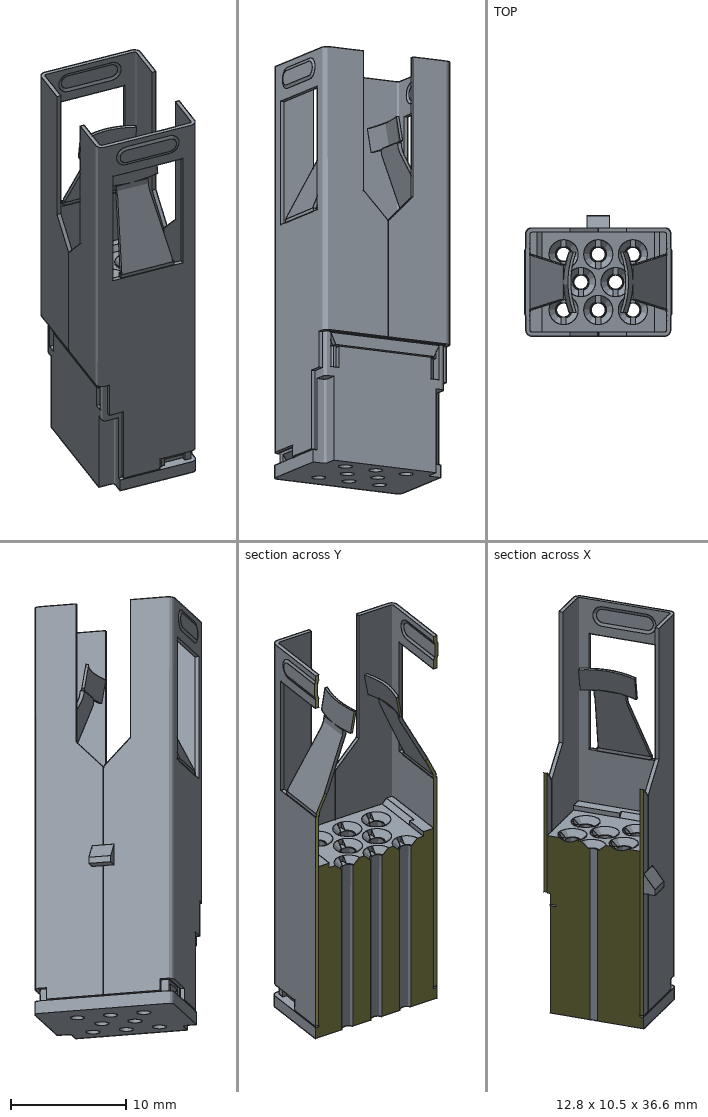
import cadquery as cq

HEIGHT = 36.65
SHELL_X = 12.6
SHELL_Y = 9.42
DEPTH_Y = 10.5
SHEET = 0.35
CORNER_R = 0.6
SEAM_GAP = 0.07
HALF_X = SHELL_X / 2
HALF_Y = SHELL_Y / 2
INNER_X = HALF_X - SHEET
INNER_Y = HALF_Y - SHEET
INNER_R = CORNER_R - SHEET

SIDE_BOTTOM_Z = 1.25
BACK_NOTCH_Z = 2.27
BACK_NOTCH_Y = 1.15
BACK_NOTCH_X = -5.13
FRONT_BOTTOM_Z = 11.45
STEP_Z = 8.25
STEP_Y = -2.3
LOWER_EDGE_Y = -3.65

SLOT_HALF_X = 2.45
SLOT_Z = 24.23
WINDOW_HALF_Y = 3.35
WINDOW_BOTTOM_Z = 22.35
WINDOW_TOP_Z = 33.35

EMBOSS_RISE = 0.1
EMBOSS_Z = 35.2
EMBOSS_LENGTH = 5.95
EMBOSS_WIDTH = 1.87
EMBOSS_RIM = 0.3

BASE_Z = 22.7
ARM_Z = 22.9
NECK_Z = 28.75
NECK_BEND_Z = 29.2
HEAD_Z = 29.72
ARM_BASE_HALF_Y = 2.53
ARM_HALF_Y = 2.42
NECK_HALF_Y = 1.5
ARM_ROOT_X = -6.23
ARM_FOOT_X = -6.15
ARM_TOP_X = -3.25
NECK_BEND_X = -3.08
HEAD_X = -3.0
HEAD_HEIGHT = 2.13
HEAD_HALF_Y = 2.65
HEAD_FLAT_HALF_Y = 0.22
HEAD_SAG = 0.48
HEAD_MID_SAG = 0.3
HEAD_SHEET = 0.25
HEAD_LEAN = 10.0

CAP_HEIGHT = 1.15
CAP_FRONT_Y = -2.65
CAP_R = 0.48
FRONT_Y = -4.1
FRONT_R = 0.35
COLUMN_HALF_X = 5.05
NOTCH_TOP_Z = 7.48
NOTCH_R = 0.3
FLANGE_Z = 11.35
FLANGE_HALF_X = 5.35
FLOOR_Z = 16.85
FLOOR_HALF_X = 4.87
LEDGE_RISE = 0.45

TAB_SLOT_Z = 8.32
TAB_TOP_Z = 10.23
TAB_GAP = 0.1
TAB_HALF_X = 4.55
SLOT_FLANK_X = 4.8
SLOT_SHALLOW = 0.55
SLOT_DEEP = 1.03

POCKET_FRONT_Y = 1.8
POCKET_BACK_Y = 3.75
RELIEF_FRONT_Y = 1.45
RELIEF_DEPTH = 0.1
POCKET_ROOF_Z = 1.45
POCKET_TOP_Z = 2.15
POCKET_DEPTH = 0.5

HOLE_D = 1.2
SEAT_D = 1.43
CONE_D = 2.53
KEY_WIDTH = 0.45
OUTER_PITCH_X = 3.0
OUTER_ROW_Y = 2.42

NOSE_HALF_X = 1.0
NOSE_TIP_Y = DEPTH_Y - HALF_Y
NOSE_BOTTOM_Z = 12.85
NOSE_TIP_Z = 13.4
NOSE_TOP_Z = 14.75


def block(x0, x1, y0, y1, z0, z1):
    """Axis-aligned block between two opposite corners."""
    return cq.Workplane("XY").box(x1 - x0, y1 - y0, z1 - z0, centered=False).translate((x0, y0, z0))


def yz_prism(points, x0, x1):
    """Prism of a (y, z) outline between two X positions."""
    return cq.Workplane("YZ").polyline(points).close().extrude(x1 - x0).translate((x0, 0, 0))


def xz_prism(points, y0, y1):
    """Prism of an (x, z) outline between two Y positions."""
    return cq.Workplane("XZ").polyline(points).close().extrude(y0 - y1).translate((0, y0, 0))


def latch_nose():
    """Wedge at the back, from inside the wall out to the latch tip."""
    return yz_prism(
        [
            (INNER_Y - SHEET, NOSE_BOTTOM_Z),
            (NOSE_TIP_Y, NOSE_BOTTOM_Z),
            (NOSE_TIP_Y, NOSE_TIP_Z),
            (HALF_Y, NOSE_TOP_Z),
            (INNER_Y - SHEET, NOSE_TOP_Z),
        ],
        -NOSE_HALF_X,
        NOSE_HALF_X,
    )


def shell_bore():
    """Full-height inner space of the two half shells."""
    return cq.Workplane("XY").rect(2 * INNER_X, 2 * INNER_Y).extrude(HEIGHT).edges("|Z").fillet(INNER_R)


def shell_walls():
    """Left half of the sheet-metal box with its stepped lower edge and openings."""
    walls = cq.Workplane("XY").rect(SHELL_X, SHELL_Y).extrude(HEIGHT).edges("|Z").fillet(CORNER_R)
    walls = walls.cut(shell_bore())

    side_outline = [
        (-HALF_Y, HEIGHT),
        (-HALF_Y, FRONT_BOTTOM_Z),
        (LOWER_EDGE_Y, FRONT_BOTTOM_Z),
        (LOWER_EDGE_Y, STEP_Z),
        (STEP_Y, STEP_Z),
        (STEP_Y, SIDE_BOTTOM_Z),
        (HALF_Y, SIDE_BOTTOM_Z),
        (HALF_Y, HEIGHT),
    ]
    walls = walls.intersect(yz_prism(side_outline, -HALF_X, -SEAM_GAP / 2))

    corner_notch = block(-HALF_X, BACK_NOTCH_X, BACK_NOTCH_Y, HALF_Y, SIDE_BOTTOM_Z, BACK_NOTCH_Z)
    walls = walls.cut(corner_notch)

    slot_outline = [
        (-SLOT_HALF_X, HEIGHT),
        (-SLOT_HALF_X, SLOT_Z),
        (0, SLOT_Z - SLOT_HALF_X),
        (0, HEIGHT),
    ]
    walls = walls.cut(xz_prism(slot_outline, -HALF_Y, HALF_Y))
    window = block(-HALF_X, -INNER_X, -WINDOW_HALF_Y, WINDOW_HALF_Y, WINDOW_BOTTOM_Z, WINDOW_TOP_Z)
    return walls.cut(window).cut(latch_nose())


def obround(shrink, x):
    """Closed obround wire above the window, at a given X."""
    length = EMBOSS_LENGTH - 2 * shrink
    width = EMBOSS_WIDTH - 2 * shrink
    return cq.Workplane("YZ", origin=(x, 0, EMBOSS_Z)).slot2D(length, width)


def emboss(x):
    """Raised obround whose rim slopes outward from the given X."""
    base = obround(0, x).wires().val()
    crown = obround(EMBOSS_RIM, x - EMBOSS_RISE).wires().val()
    return cq.Workplane(cq.Solid.makeLoft([base, crown], True))


def clip_arm():
    """Tapered spring arm that leans inward from the bottom of the window."""
    outer = [
        (ARM_ROOT_X, WINDOW_BOTTOM_Z),
        (ARM_ROOT_X, BASE_Z),
        (ARM_FOOT_X, ARM_Z),
        (ARM_TOP_X, NECK_Z),
        (NECK_BEND_X, NECK_BEND_Z),
        (HEAD_X, HEAD_Z),
    ]
    inner = [(x + SHEET, z) for x, z in outer]
    profile = xz_prism(outer + inner[::-1], -HALF_Y, HALF_Y)
    right_edge = [
        (ARM_BASE_HALF_Y, WINDOW_BOTTOM_Z),
        (ARM_BASE_HALF_Y, BASE_Z),
        (ARM_HALF_Y, BASE_Z),
        (ARM_HALF_Y, ARM_Z),
        (NECK_HALF_Y, NECK_Z),
        (NECK_HALF_Y, HEAD_Z),
    ]
    left_edge = [(-y, z) for y, z in reversed(right_edge)]
    return profile.intersect(yz_prism(right_edge + left_edge, -HALF_X, 0))


def clip_head():
    """Curved gripping head: a flat centre strip with two wings bent inward, leaning inward."""
    mid_sag = HEAD_SAG * HEAD_MID_SAG
    mid_y = (HEAD_HALF_Y + HEAD_FLAT_HALF_Y) / 2
    head = (
        cq.Workplane("XY")
        .moveTo(0, -HEAD_FLAT_HALF_Y)
        .lineTo(0, HEAD_FLAT_HALF_Y)
        .threePointArc((mid_sag, mid_y), (HEAD_SAG, HEAD_HALF_Y))
        .lineTo(HEAD_SAG + HEAD_SHEET, HEAD_HALF_Y)
        .threePointArc((mid_sag + HEAD_SHEET, mid_y), (HEAD_SHEET, HEAD_FLAT_HALF_Y))
        .lineTo(HEAD_SHEET, -HEAD_FLAT_HALF_Y)
        .threePointArc((mid_sag + HEAD_SHEET, -mid_y), (HEAD_SAG + HEAD_SHEET, -HEAD_HALF_Y))
        .lineTo(HEAD_SAG, -HEAD_HALF_Y)
        .threePointArc((mid_sag, -mid_y), (0, -HEAD_FLAT_HALF_Y))
        .close()
        .extrude(HEAD_HEIGHT)
    )
    return head.rotate((0, 0, 0), (0, 1, 0), HEAD_LEAN).translate((HEAD_X, 0, HEAD_Z))


def half_shell():
    """Left half shell with its emboss and spring clip."""
    shell = shell_walls().union(emboss(-HALF_X)).cut(emboss(-INNER_X))
    return shell.union(clip_arm()).union(clip_head())


def housing_block():
    """Cap, column and upper flange of the insulating housing."""
    core = block(-INNER_X, INNER_X, FRONT_Y, INNER_Y, 0, FLOOR_Z)
    core = core.edges("|Z and <Y").fillet(FRONT_R).edges("|Z and >Y").fillet(INNER_R)
    upper = shell_bore().intersect(block(-HALF_X, HALF_X, -HALF_Y, HALF_Y, FRONT_BOTTOM_Z, FLOOR_Z))
    cap = block(-HALF_X, HALF_X, CAP_FRONT_Y, HALF_Y, 0, CAP_HEIGHT)
    cap = cap.edges("|Z and >Y").fillet(CAP_R)
    flange = block(-FLANGE_HALF_X, FLANGE_HALF_X, -INNER_Y, 0, FLANGE_Z, FLOOR_Z)
    return core.union(upper).union(flange).union(cap)


def front_notch():
    """Left front corner cut-out with a rounded inner corner."""
    notch = block(-HALF_X, -COLUMN_HALF_X, FRONT_Y, CAP_FRONT_Y, 0, NOTCH_TOP_Z)
    return notch.edges("|Z and >X and >Y").fillet(NOTCH_R)


def tab_slot():
    """Left relief slot of the front tab, with a slanted inner wall."""
    outline = [
        (-FLANGE_HALF_X, FRONT_Y),
        (-TAB_HALF_X, FRONT_Y),
        (-TAB_HALF_X, FRONT_Y + SLOT_SHALLOW),
        (-SLOT_FLANK_X, FRONT_Y + SLOT_SHALLOW),
        (-FLANGE_HALF_X, FRONT_Y + SLOT_DEEP),
    ]
    lower = cq.Workplane("XY", origin=(0, 0, TAB_SLOT_Z)).polyline(outline).close()
    lower = lower.extrude(TAB_TOP_Z + TAB_GAP - TAB_SLOT_Z)
    bevel = [
        (-FLANGE_HALF_X, TAB_TOP_Z),
        (-SLOT_FLANK_X, TAB_TOP_Z),
        (-FLANGE_HALF_X, FLANGE_Z),
    ]
    return lower.union(xz_prism(bevel, FRONT_Y, FRONT_Y + SLOT_SHALLOW))


def side_pocket():
    """Left pocket above the cap with a slanted roof, inside a shallow relief."""
    deep_x = POCKET_DEPTH - INNER_X
    outline = [
        (-INNER_X, CAP_HEIGHT),
        (deep_x, CAP_HEIGHT),
        (deep_x, POCKET_ROOF_Z),
        (-INNER_X, POCKET_TOP_Z),
    ]
    pocket = xz_prism(outline, POCKET_FRONT_Y, POCKET_BACK_Y)
    relief = block(-INNER_X, RELIEF_DEPTH - INNER_X, RELIEF_FRONT_Y, INNER_Y, CAP_HEIGHT, BACK_NOTCH_Z)
    return pocket.union(relief)


def side_ledge():
    """Left ledge beside the contact floor: stepped at the front, ramped at the back."""
    top_z = FLOOR_Z + LEDGE_RISE
    front = block(-INNER_X, -FLOOR_HALF_X, -HALF_Y, 0, FLOOR_Z, top_z)
    ramp = [
        (-INNER_X, FLOOR_Z),
        (-FLOOR_HALF_X, FLOOR_Z),
        (-FLOOR_HALF_X - LEDGE_RISE, top_z),
        (-INNER_X, top_z),
    ]
    return front.union(xz_prism(ramp, 0, HALF_Y)).intersect(shell_bore())


def mirrored_pair(left):
    """A left-hand feature together with its mirror image across the YZ plane."""
    return left.union(left.mirror("YZ"))


def contact_cavity(x, y):
    """Through hole with a conical lead-in, a flat seat and two keyways along Y."""
    depth = (CONE_D - SEAT_D) / 2
    seat_z = FLOOR_Z - depth
    hole = cq.Workplane("XY").circle(HOLE_D / 2).extrude(FLOOR_Z)
    cone = cq.Workplane(cq.Solid.makeCone(SEAT_D / 2, CONE_D / 2, depth, cq.Vector(0, 0, seat_z)))
    rim = cq.Workplane("XY", origin=(0, 0, seat_z)).circle(CONE_D / 2).extrude(depth)
    keys = rim.intersect(block(-KEY_WIDTH / 2, KEY_WIDTH / 2, -CONE_D, CONE_D, seat_z, FLOOR_Z))
    return hole.union(cone).union(keys).translate((x, y, 0))


def cut_contact_cavities(body):
    """Cut the eight contact cavities: two rows of three and a middle pair."""
    places = [(x, y) for x in (-OUTER_PITCH_X, 0, OUTER_PITCH_X) for y in (-OUTER_ROW_Y, OUTER_ROW_Y)]
    places += [(-OUTER_PITCH_X / 2, 0), (OUTER_PITCH_X / 2, 0)]
    for x, y in places:
        body = body.cut(contact_cavity(x, y))
    return body


def make_housing():
    """Insulating housing inside both half shells."""
    body = housing_block().cut(mirrored_pair(front_notch()))
    body = body.cut(mirrored_pair(tab_slot()))
    gap_back_y = FRONT_Y + SLOT_SHALLOW
    gap_top_z = TAB_TOP_Z + TAB_GAP
    tab_gap = block(-SLOT_FLANK_X, SLOT_FLANK_X, FRONT_Y, gap_back_y, TAB_TOP_Z, gap_top_z)
    body = body.cut(tab_gap).cut(mirrored_pair(side_pocket()))
    body = body.union(mirrored_pair(side_ledge())).union(latch_nose())
    return cut_contact_cavities(body)


left_shell = half_shell()
right_shell = left_shell.mirror("YZ")
housing = make_housing()

result = cq.Compound.makeCompound([left_shell.val(), right_shell.val(), housing.val()])